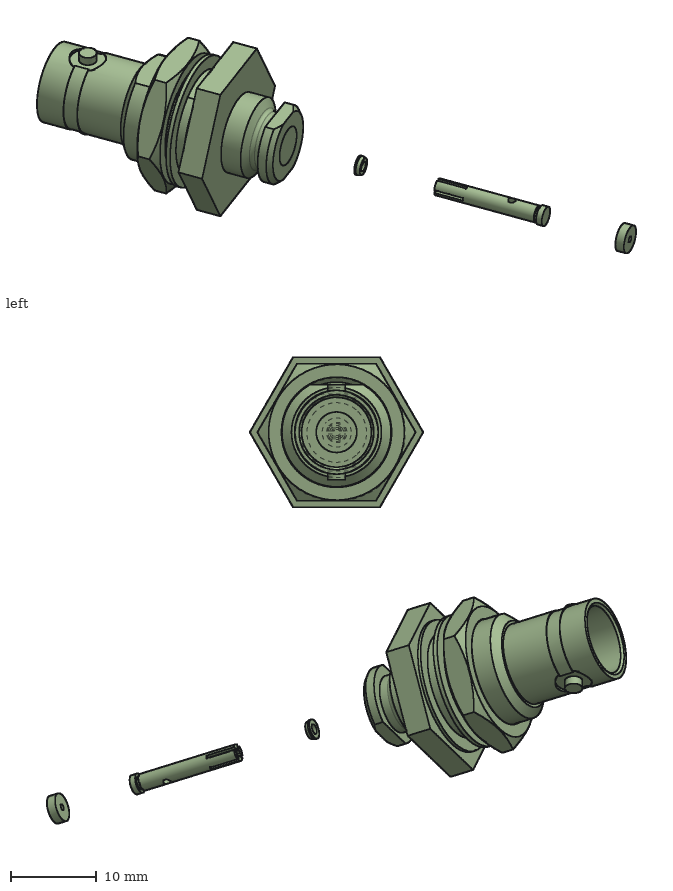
import cadquery as cq
import math

TOTAL_LENGTH = 73.9

BARREL_RADIUS = 4.9
BORE_RADIUS = 4.1
BORE_FLOOR_X = 4.8
RIM_CHAMFER = 0.3
LUG_X = 4.3
LUG_RADIUS = 1.0
LUG_TIP_Z = 5.55
LUG_SEAT_RADIUS = 2.15
LUG_SEAT_Z = 4.5
BAND_RADIUS = 4.8
BAND_WIDTH = 1.8

THREAD_X = 10.9
THREAD_RADIUS = 6.35
THREAD_CHAMFER_LENGTH = 0.9
THREAD_CHAMFER_RADIUS = 5.25
THREAD_FLAT_Z = 5.55
FLANGE_X = 20.6
FLANGE_THICKNESS = 3.0
FLANGE_ACROSS_FLATS = 17.5
FLANGE_FACE_RADIUS = 8.0
FLANGE_FACE_THICKNESS = 0.4

REAR_CONE_X = 26.15
REAR_CONE_END_X = 26.75
REAR_CONE_END_RADIUS = 3.8
NECK_X = 27.3
NECK_RADIUS = 3.5
COLLAR_RADIUS = 4.8
COLLAR_X = 28.3
COLLAR_END_X = 30.0
COLLAR_CHAMFER = 0.6
COLLAR_FLAT_Z = 4.0

INSULATOR_RADIUS = 2.4

NUT_X = 14.25
NUT_THICKNESS = 2.95
NUT_ACROSS_FLATS = 15.95
NUT_FACE_RADIUS = 7.9
NUT_CHAMFER_ANGLE = 30.0
NUT_BORE_RADIUS = 5.85
NUT_COUNTERSINK_RADIUS = 6.4

WASHER_X = 18.0
WASHER_THICKNESS = 0.5
WASHER_RADIUS = 8.0

RING_X = 39.0
RING_LENGTH = 0.7
RING_RADIUS = 1.2
RING_BORE_RADIUS = 0.6
RING_LAND = 0.2
RING_TAPER_RADIUS = 1.0

PIN_X = 49.2
PIN_END_X = 63.1
PIN_RADIUS = 1.0
PIN_BORE_RADIUS = 0.45
PIN_SLOT_LENGTH = 3.7
PIN_SLOT_WIDTH = 0.4
PIN_HOLE_X = 58.75
PIN_HOLE_RADIUS = 0.45
PIN_GROOVE_X = 62.0
PIN_GROOVE_RADIUS = 0.8
PIN_HEAD_X = 62.4
PIN_HEAD_RADIUS = 1.2

BEAD_LENGTH = 1.1
BEAD_RADIUS = 1.7
BEAD_BORE_RADIUS = 0.4


def cylinder(x_start, x_end, radius):
    """Cylinder on the X axis between two stations."""
    return cq.Workplane("YZ", origin=(x_start, 0, 0)).circle(radius).extrude(x_end - x_start)


def turned(points):
    """Solid turned about the X axis from an (x, radius) outline that starts and ends on the axis."""
    return cq.Workplane("XY").polyline(points).close().revolve(360, (0, 0, 0), (1, 0, 0))


def hexagon(x_start, thickness, across_flats):
    """Hexagonal prism along X with flats facing +Z and -Z."""
    corner_diameter = across_flats / math.cos(math.radians(30))
    return cq.Workplane("YZ", origin=(x_start, 0, 0)).polygon(6, corner_diameter).extrude(thickness)


def slab_between(x_start, x_end, z_low, z_high):
    """Block that spans well past the part in Y, used to trim flats."""
    width = 2 * FLANGE_ACROSS_FLATS
    return cq.Workplane("XY").box(x_end - x_start, width, z_high - z_low, centered=False).translate(
        (x_start, -width / 2, z_low)
    )


def make_barrel():
    """Barrel with a shallow band, two opposed bayonet lugs and their flat round seats."""
    barrel = cylinder(0, THREAD_X, BARREL_RADIUS)
    band_start = LUG_X - BAND_WIDTH / 2
    band_end = LUG_X + BAND_WIDTH / 2
    band = cylinder(band_start, band_end, BARREL_RADIUS).cut(cylinder(band_start, band_end, BAND_RADIUS))
    barrel = barrel.cut(band)
    for side in (1, -1):
        lug_centre = cq.Workplane("XY", origin=(LUG_X, 0, side * LUG_SEAT_Z))
        barrel = barrel.cut(lug_centre.circle(LUG_SEAT_RADIUS).extrude(side * LUG_SEAT_Z))
        barrel = barrel.union(lug_centre.circle(LUG_RADIUS).extrude(side * (LUG_TIP_Z - LUG_SEAT_Z)))
    return barrel


def make_thread_section():
    """Plain threaded-size cylinder with a conical lead-in and one flat on top."""
    section = turned([
        (THREAD_X, 0),
        (THREAD_X, THREAD_CHAMFER_RADIUS),
        (THREAD_X + THREAD_CHAMFER_LENGTH, THREAD_RADIUS),
        (FLANGE_X, THREAD_RADIUS),
        (FLANGE_X, 0),
    ])
    return section.cut(slab_between(THREAD_X, FLANGE_X, THREAD_FLAT_Z, THREAD_RADIUS))


def make_rear_end():
    """Rear cylinder with a cone that blends into a neck, then a chamfered collar with two flats."""
    flange_end = FLANGE_X + FLANGE_THICKNESS
    outline = (
        cq.Workplane("XY")
        .moveTo(flange_end, 0)
        .lineTo(flange_end, BARREL_RADIUS)
        .lineTo(REAR_CONE_X, BARREL_RADIUS)
        .lineTo(REAR_CONE_END_X, REAR_CONE_END_RADIUS)
        .tangentArcPoint((NECK_X, NECK_RADIUS), relative=False)
        .lineTo(COLLAR_X, NECK_RADIUS)
        .lineTo(COLLAR_X, 0)
        .close()
    )
    body = outline.revolve(360, (0, 0, 0), (1, 0, 0))
    collar = cylinder(COLLAR_X, COLLAR_END_X, COLLAR_RADIUS).faces(">X").chamfer(COLLAR_CHAMFER)
    flats = slab_between(COLLAR_X, COLLAR_END_X, -COLLAR_FLAT_Z, COLLAR_FLAT_Z)
    return body.union(collar.intersect(flats))


def make_housing():
    housing = make_barrel().union(make_thread_section())
    housing = housing.union(cylinder(FLANGE_X - FLANGE_FACE_THICKNESS, FLANGE_X, FLANGE_FACE_RADIUS))
    housing = housing.union(hexagon(FLANGE_X, FLANGE_THICKNESS, FLANGE_ACROSS_FLATS))
    housing = housing.union(make_rear_end())
    bore = turned([
        (0, 0),
        (0, BORE_RADIUS + RIM_CHAMFER),
        (RIM_CHAMFER, BORE_RADIUS),
        (BORE_FLOOR_X, BORE_RADIUS),
        (BORE_FLOOR_X, 0),
    ])
    return housing.cut(bore).cut(cylinder(BORE_FLOOR_X, COLLAR_END_X, INSULATOR_RADIUS))


def make_insulator():
    """Plug that fills the housing's centre hole, flush with the bore floor and the rear end."""
    return cylinder(BORE_FLOOR_X, COLLAR_END_X, INSULATOR_RADIUS)


def make_nut():
    """Hexagonal nut, chamfered on both faces, with a countersunk bore that clears the thread section."""
    corner_radius = NUT_ACROSS_FLATS / 2 / math.cos(math.radians(30))
    chamfer_depth = (corner_radius - NUT_FACE_RADIUS) * math.tan(math.radians(NUT_CHAMFER_ANGLE))
    countersink_depth = NUT_COUNTERSINK_RADIUS - NUT_BORE_RADIUS
    nut_end = NUT_X + NUT_THICKNESS
    envelope = turned([
        (NUT_X, 0),
        (NUT_X, NUT_FACE_RADIUS),
        (NUT_X + chamfer_depth, corner_radius),
        (nut_end - chamfer_depth, corner_radius),
        (nut_end, NUT_FACE_RADIUS),
        (nut_end, 0),
    ])
    bore = turned([
        (NUT_X, 0),
        (NUT_X, NUT_COUNTERSINK_RADIUS),
        (NUT_X + countersink_depth, NUT_BORE_RADIUS),
        (nut_end - countersink_depth, NUT_BORE_RADIUS),
        (nut_end, NUT_COUNTERSINK_RADIUS),
        (nut_end, 0),
    ])
    blank = hexagon(NUT_X, NUT_THICKNESS, NUT_ACROSS_FLATS).intersect(envelope)
    return blank.cut(bore).cut(make_thread_section())


def make_washer():
    washer_end = WASHER_X + WASHER_THICKNESS
    return cylinder(WASHER_X, washer_end, WASHER_RADIUS).cut(cylinder(WASHER_X, washer_end, THREAD_RADIUS))


def make_ring():
    """Bored ring with a short cylindrical land that tapers toward its rear end."""
    ring_end = RING_X + RING_LENGTH
    ring = turned([
        (RING_X, 0),
        (RING_X, RING_RADIUS),
        (RING_X + RING_LAND, RING_RADIUS),
        (ring_end, RING_TAPER_RADIUS),
        (ring_end, 0),
    ])
    return ring.cut(cylinder(RING_X, ring_end, RING_BORE_RADIUS))


def make_contact_pin():
    """Pin with a four-way slotted socket, a cross hole, and a groove in front of its head."""
    pin = cylinder(PIN_X, PIN_GROOVE_X, PIN_RADIUS)
    pin = pin.union(cylinder(PIN_GROOVE_X, PIN_HEAD_X, PIN_GROOVE_RADIUS))
    pin = pin.union(cylinder(PIN_HEAD_X, PIN_END_X, PIN_HEAD_RADIUS))
    slot_end = PIN_X + PIN_SLOT_LENGTH
    pin = pin.cut(cylinder(PIN_X, slot_end, PIN_BORE_RADIUS))
    for angle in (0, 90):
        slot = cq.Workplane("XY").box(PIN_SLOT_LENGTH, 2 * PIN_RADIUS, PIN_SLOT_WIDTH)
        slot = slot.rotate((0, 0, 0), (1, 0, 0), angle).translate((PIN_X + PIN_SLOT_LENGTH / 2, 0, 0))
        pin = pin.cut(slot)
    hole_centre = cq.Workplane("XY", origin=(PIN_HOLE_X, 0, 0))
    return pin.cut(hole_centre.circle(PIN_HOLE_RADIUS).extrude(PIN_RADIUS, both=True))


def make_bead():
    bead_start = TOTAL_LENGTH - BEAD_LENGTH
    bead = cylinder(bead_start, TOTAL_LENGTH, BEAD_RADIUS)
    return bead.cut(cylinder(bead_start, TOTAL_LENGTH, BEAD_BORE_RADIUS))


housing = make_housing()
insulator = make_insulator()
nut = make_nut()
washer = make_washer()
ring = make_ring()
contact_pin = make_contact_pin()
bead = make_bead()

result = cq.Compound.makeCompound([
    housing.val(),
    insulator.val(),
    nut.val(),
    washer.val(),
    ring.val(),
    contact_pin.val(),
    bead.val(),
])